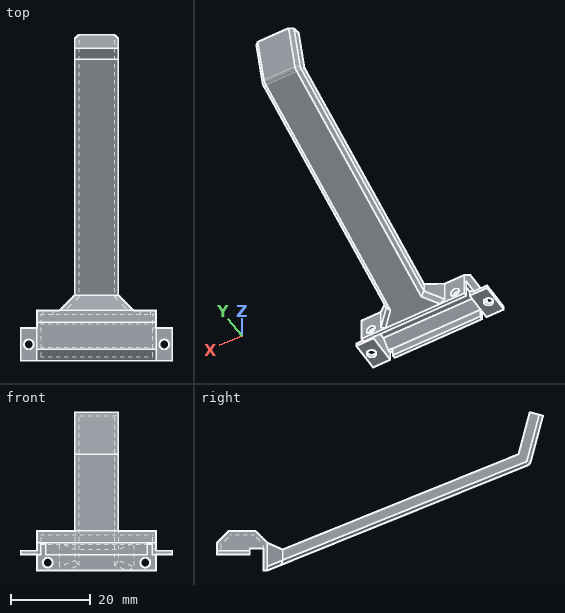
import math

import cadquery as cq

sheet = 1.0
body_width = 30.0
body_depth = 12.7
body_height = 10.0
bevel = 3.0
bevel_angle = math.radians(45)
front_wall_height = 6.0
end_wall_height = 4.5

overall_width = 38.1
tab_depth = 8.3
tab_hole_diameter = 2.4

slit_width = 1.25
slit_top = -3.25

plate_hole_diameter = 2.4
plate_hole_spacing = 24.5
plate_hole_z = -8.0

reach = 81.97
tip_top = 29.83
arm_width = 11.0
arm_thickness = 3.5
arm_angle = math.radians(22)
tip_lean = math.radians(15)
arm_chamfer = 1.0
bend_radius = 1.5

gusset_length = 3.8


def side_prism(points, width):
    """Extrude a (y, z) outline along X, centred on x = 0."""
    return cq.Workplane("YZ").polyline(points).close().extrude(width / 2, both=True)


def block(x_range, y_range, z_range):
    """Box between the given limits on each axis."""
    (x0, x1), (y0, y1), (z0, z1) = x_range, y_range, z_range
    return cq.Workplane("XY").box(x1 - x0, y1 - y0, z1 - z0, centered=False).translate((x0, y0, z0))


def make_cover():
    """Hollow bevelled cover with its full-height back plate."""
    outer = side_prism(
        [
            (0, -body_height),
            (0, -bevel),
            (bevel, 0),
            (body_depth - bevel, 0),
            (body_depth, -bevel),
            (body_depth, -body_height),
        ],
        body_width,
    )
    corner_shift = sheet * math.tan(bevel_angle / 2)
    inner_front = sheet
    inner_back = body_depth - sheet
    inner_bevel_z = -bevel - corner_shift
    cavity = side_prism(
        [
            (inner_front, -body_height),
            (inner_front, inner_bevel_z),
            (bevel + corner_shift, -sheet),
            (body_depth - bevel - corner_shift, -sheet),
            (inner_back, inner_bevel_z),
            (inner_back, -body_height),
        ],
        body_width - 2 * sheet,
    )
    half_width = body_width / 2
    below_front = block((-half_width, half_width), (0, inner_back), (-body_height, -front_wall_height))
    cover = outer.cut(cavity).cut(below_front)
    for side in (-1, 1):
        end_x = sorted((side * half_width, side * (half_width - sheet)))
        cover = cover.cut(block(end_x, (tab_depth, inner_back), (-body_height, -end_wall_height)))
    return cover


def cut_slits(cover):
    """Open a slit at each end of the front wall."""
    slit_outer = body_width / 2 - sheet
    for side in (-1, 1):
        slit_x = sorted((side * slit_outer, side * (slit_outer - slit_width)))
        cover = cover.cut(block(slit_x, (0, sheet), (-front_wall_height, slit_top)))
    return cover


def make_tab(side):
    """Flat drilled tab on one end wall; side is -1 or 1."""
    tab_inner = body_width / 2 - sheet
    tab_outer = overall_width / 2
    hole_x = side * (body_width / 2 + tab_outer) / 2
    tab_x = sorted((side * tab_inner, side * tab_outer))
    tab = block(tab_x, (0, tab_depth), (-front_wall_height, -front_wall_height + sheet))
    hole = (
        cq.Workplane("XY", origin=(hole_x, tab_depth / 2, -front_wall_height))
        .circle(tab_hole_diameter / 2)
        .extrude(sheet)
    )
    return tab.cut(hole)


def make_plate_holes():
    """Cutters for the screw holes in the back plate."""
    return (
        cq.Workplane("XZ", origin=(0, body_depth, plate_hole_z))
        .pushPoints([(-plate_hole_spacing / 2, 0), (plate_hole_spacing / 2, 0)])
        .circle(plate_hole_diameter / 2)
        .extrude(sheet)
    )


def make_arm():
    """Arm, upturned tip and gusset, with the underside edges chamfered."""
    slope = math.tan(arm_angle)
    top_at_plate = -body_height + arm_thickness / math.cos(arm_angle)

    def arm_top(y):
        return top_at_plate + (y - body_depth) * slope

    tip_inner_y = reach - arm_thickness * math.cos(tip_lean)
    lean = math.tan(tip_lean)
    fold_y = (tip_inner_y - lean * (tip_top - arm_top(0))) / (1 - lean * slope)
    fold_z = arm_top(fold_y)

    half_turn = (math.pi / 2 - tip_lean - arm_angle) / 2
    mitre = arm_thickness / math.cos(half_turn)
    mitre_angle = arm_angle + half_turn - math.pi / 2
    outer_fold = (fold_y + mitre * math.cos(mitre_angle), fold_z + mitre * math.sin(mitre_angle))

    gusset_end = body_depth + gusset_length
    profile = side_prism(
        [
            (body_depth, -body_height),
            outer_fold,
            (reach, tip_top - arm_thickness * math.sin(tip_lean)),
            (tip_inner_y, tip_top),
            (fold_y, fold_z),
            (gusset_end, arm_top(gusset_end)),
            (body_depth, -bevel),
        ],
        body_width,
    )
    half_arm = arm_width / 2
    half_root = half_arm + gusset_length
    plan = (
        cq.Workplane("XY", origin=(0, 0, -body_height))
        .polyline(
            [
                (-half_root, body_depth),
                (half_root, body_depth),
                (half_arm, gusset_end),
                (half_arm, reach),
                (-half_arm, reach),
                (-half_arm, gusset_end),
            ]
        )
        .close()
        .extrude(body_height + tip_top)
    )
    arm = profile.intersect(plan)
    outer_edge = cq.selectors.NearestToPointSelector((0, *outer_fold))
    arm = arm.edges(outer_edge).fillet(bend_radius)

    arm_under = cq.Vector(0, math.sin(arm_angle), -math.cos(arm_angle))
    underside = arm.faces(cq.selectors.DirectionSelector(arm_under))
    return underside.edges("not |X").chamfer(arm_chamfer)


cover = cut_slits(make_cover())
for tab_side in (-1, 1):
    cover = cover.union(make_tab(tab_side))
result = cover.cut(make_plate_holes()).union(make_arm())